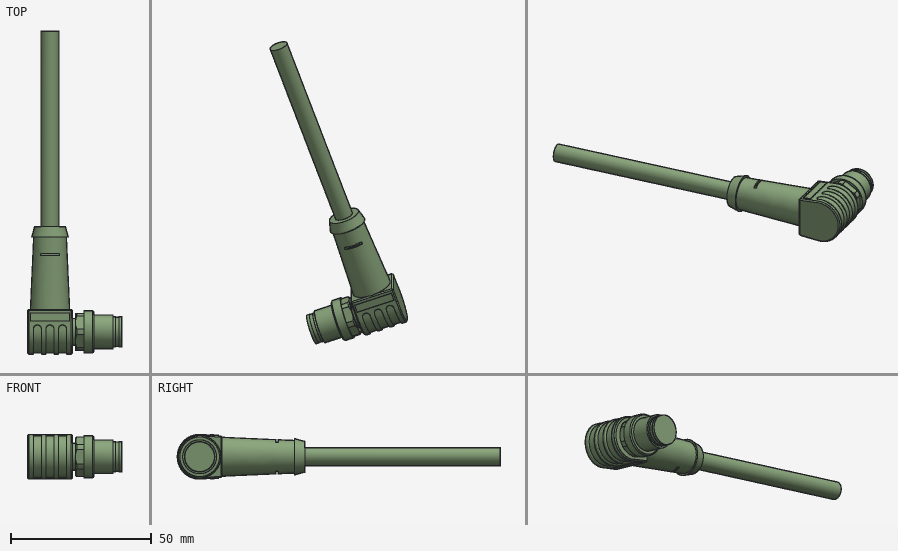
import cadquery as cq
import math


total_length = 114.7
total_width = 33.5

housing_width = 15.9
housing_height = 15.9
housing_radius = housing_height / 2
housing_back = 8.0
back_half_height = 7.3
housing_chamfer = 0.5

groove_count = 3
groove_pitch = 4.5
groove_width = 2.9
groove_depth = 0.5
groove_edge_radius = 0.3
groove_end = 2.4

plate_length = 13.9
plate_start = 3.9
plate_end = 6.7
plate_thickness = 0.2

boot_root_diameter = 14.0
boot_tip_diameter = 11.7
collar_start = 33.6
collar_diameter = 13.1
collar_end = 37.4
collar_end_diameter = 11.0
notch_start = 27.1
notch_width = 0.8
notch_floor_height = 5.2
cable_diameter = 6.4
cable_end = total_length - housing_radius

housing_side = housing_width / 2
neck_diameter = 9.6
nut_start = 9.1
nut_across_flats = 13.1
nut_corner_diameter = 14.1
nut_chamfer = 0.5
flange_start = 12.0
flange_end = 15.6
flange_diameter = 15.0
flange_chamfer = 0.5
thread_end = 22.4
thread_diameter = 12.0
tip_end = total_width - housing_side
tip_diameter = 10.8
tip_groove_start = 23.2
tip_groove_end = 24.4
tip_groove_depth = 0.1


def housing_block(inset, width):
    """D-shaped block centred on X, with its curved and sloping sides moved inward by inset."""
    back_distance = math.hypot(housing_back, back_half_height)
    back_angle = math.atan2(housing_back, back_half_height)
    tangent_angle = back_angle - math.acos(housing_radius / back_distance)
    radius = housing_radius - inset
    tangent_y = radius * math.sin(tangent_angle)
    tangent_z = radius * math.cos(tangent_angle)
    back_z = back_half_height - inset / math.cos(tangent_angle)
    return (
        cq.Workplane("YZ", origin=(-width / 2, 0, 0))
        .moveTo(housing_back, -back_z)
        .lineTo(tangent_y, -tangent_z)
        .threePointArc((-radius, 0), (tangent_y, tangent_z))
        .lineTo(housing_back, back_z)
        .close()
        .extrude(width)
    )


def revolve_about_x(points):
    return cq.Workplane("XY").polyline(points).close().revolve(360, (0, 0, 0), (1, 0, 0))


def revolve_about_y(points):
    return cq.Workplane("XY").polyline(points).close().revolve(360, (0, 0, 0), (0, 1, 0))


def groove_prism(x):
    """Vertical prism with a round +Y end, open towards -Y."""
    half = groove_width / 2
    reach = 2 * housing_radius
    return (
        cq.Workplane("XY", origin=(0, 0, -reach))
        .moveTo(x - half, -reach)
        .lineTo(x - half, groove_end - half)
        .threePointArc((x, groove_end), (x + half, groove_end - half))
        .lineTo(x + half, -reach)
        .close()
        .extrude(2 * reach)
    )


def round_groove_edges(housing, core):
    """Round the groove edges on the outer skin; the floor edges lie on the core and stay sharp."""
    groove_reach = (groove_count - 1) / 2 * groove_pitch + groove_width / 2 + groove_edge_radius
    outer_edges = [
        edge
        for edge in housing.edges("not(|X or |Z)").vals()
        if abs(edge.startPoint().x) < groove_reach
        and abs(edge.endPoint().x) < groove_reach
        and not core.val().isInside(edge.startPoint(), groove_depth / 4)
    ]
    return housing.newObject(outer_edges).fillet(groove_edge_radius)


def build_housing():
    housing = housing_block(0, housing_width).faces("<X or >X or >Y").edges().chamfer(housing_chamfer)
    core = housing_block(groove_depth, housing_width)
    for index in range(groove_count):
        x = (index - (groove_count - 1) / 2) * groove_pitch
        housing = housing.cut(groove_prism(x).cut(core))
    housing = round_groove_edges(housing, core)
    plate_strip = cq.Workplane("XY").box(plate_length, plate_end - plate_start, 2 * housing_height)
    plate_strip = plate_strip.translate((0, (plate_start + plate_end) / 2, 0))
    plates = housing_block(-plate_thickness, housing_width).intersect(plate_strip)
    return housing.union(plates)


def build_boot_and_cable():
    body = revolve_about_y([
        (0, 0),
        (boot_root_diameter / 2, 0),
        (boot_root_diameter / 2, housing_back),
        (boot_tip_diameter / 2, collar_start),
        (collar_diameter / 2, collar_start),
        (collar_end_diameter / 2, collar_end),
        (cable_diameter / 2, collar_end),
        (cable_diameter / 2, cable_end),
        (0, cable_end),
    ])
    for side in (-1, 1):
        notch = cq.Workplane("XY").box(boot_root_diameter, notch_width, boot_root_diameter)
        body = body.cut(notch.translate(
            (0, notch_start + notch_width / 2, side * (notch_floor_height + boot_root_diameter / 2))))
    return body


def build_nut():
    """Hexagon with flats facing +Y and -Y, its corners turned round and chamfered."""
    hexagon = (
        cq.Workplane("YZ", origin=(nut_start, 0, 0))
        .polygon(6, nut_across_flats / math.cos(math.pi / 6))
        .extrude(flange_start - nut_start)
        .rotate((0, 0, 0), (1, 0, 0), 90)
    )
    turned = (
        cq.Workplane("YZ", origin=(nut_start, 0, 0))
        .circle(nut_corner_diameter / 2)
        .extrude(flange_start - nut_start)
        .faces("<X").chamfer(nut_chamfer)
    )
    return hexagon.intersect(turned)


def build_plug():
    groove_radius = tip_diameter / 2 - tip_groove_depth
    plug = revolve_about_x([
        (0, 0),
        (0, neck_diameter / 2),
        (flange_start, neck_diameter / 2),
        (flange_start, flange_diameter / 2),
        (flange_end - flange_chamfer, flange_diameter / 2),
        (flange_end, flange_diameter / 2 - flange_chamfer),
        (flange_end, thread_diameter / 2),
        (thread_end, thread_diameter / 2),
        (thread_end, tip_diameter / 2),
        (tip_groove_start, tip_diameter / 2),
        (tip_groove_start, groove_radius),
        (tip_groove_end, groove_radius),
        (tip_groove_end, tip_diameter / 2),
        (tip_end, tip_diameter / 2),
        (tip_end, 0),
    ])
    return plug.union(build_nut())


result = build_housing().union(build_boot_and_cable()).union(build_plug())